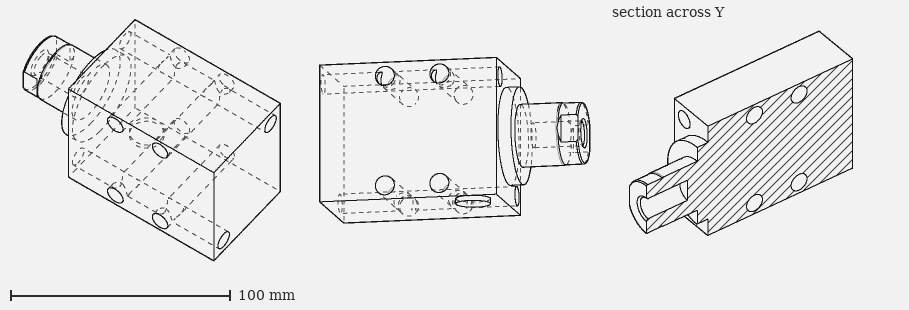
import cadquery as cq

total_length = 117.5
block_start = 35.1
block_length = total_length - block_start
block_width = 50.7
block_height = 63.4

flange_start = 29.0
flange_diameter = 44.6
rod_diameter = 28.7
shoulder_start = 9.0
shoulder_end = 9.8
tip_diameter = 28.2
tip_face_diameter = 27.5
tip_bevel_length = 0.8

flat_spacing = 25.3
flat_length = 7.8

bore_diameter = 11.4
bore_mouth_diameter = 13.4
bore_depth = 23.5

hole_diameter = 8.8
cross_hole_start = 61.7
cross_hole_pitch_x = 25.4
cross_hole_pitch_z = 50.7
long_hole_inset = 7.5

pad_diameter = 15.9
pad_height = 2.3
pad_x = 47.7


def make_rod():
    """Revolve the rod, its stepped tip and the flange around the X axis."""
    return (
        cq.Workplane("XY")
        .moveTo(0, 0)
        .lineTo(0, tip_face_diameter / 2)
        .lineTo(tip_bevel_length, tip_diameter / 2)
        .lineTo(shoulder_start, tip_diameter / 2)
        .lineTo(shoulder_end, rod_diameter / 2)
        .lineTo(flange_start, rod_diameter / 2)
        .lineTo(flange_start, flange_diameter / 2)
        .lineTo(block_start, flange_diameter / 2)
        .lineTo(block_start, 0)
        .close()
        .revolve(360, (0, 0, 0), (1, 0, 0))
    )


def make_flat_cutter(side):
    """Wrench flat on one side (+1 or -1 in Y), running out at 45 degrees."""
    flat_y = flat_spacing / 2
    run_out = rod_diameter - flat_y
    return (
        cq.Workplane("XY")
        .moveTo(0, side * flat_y)
        .lineTo(flat_length, side * flat_y)
        .lineTo(flat_length + run_out, side * rod_diameter)
        .lineTo(0, side * rod_diameter)
        .close()
        .extrude(rod_diameter / 2, both=True)
    )


def make_bore():
    """Blind bore in the rod tip with a 45 degree countersink."""
    countersink_depth = (bore_mouth_diameter - bore_diameter) / 2
    return (
        cq.Workplane("XY")
        .lineTo(0, bore_mouth_diameter / 2)
        .lineTo(countersink_depth, bore_diameter / 2)
        .lineTo(bore_depth, bore_diameter / 2)
        .lineTo(bore_depth, 0)
        .close()
        .revolve(360, (0, 0, 0), (1, 0, 0))
    )


def make_cross_holes():
    """Four holes through the block along Y."""
    x_positions = (cross_hole_start, cross_hole_start + cross_hole_pitch_x)
    z_positions = (-cross_hole_pitch_z / 2, cross_hole_pitch_z / 2)
    return (
        cq.Workplane("XZ")
        .pushPoints([(x, z) for x in x_positions for z in z_positions])
        .circle(hole_diameter / 2)
        .extrude(block_width, both=True)
    )


def make_long_holes():
    """Two diagonally opposite holes through the block along X."""
    hole_y = block_width / 2 - long_hole_inset
    hole_z = block_height / 2 - long_hole_inset
    return (
        cq.Workplane("YZ")
        .pushPoints([(hole_y, hole_z), (-hole_y, -hole_z)])
        .circle(hole_diameter / 2)
        .extrude(total_length)
    )


block = cq.Workplane("XY").box(block_length, block_width, block_height)
block = block.translate((block_start + block_length / 2, 0, 0))

pad_y = (block_width - pad_diameter) / 2
pad = (
    cq.Workplane("XY", origin=(pad_x, pad_y, -block_height / 2))
    .circle(pad_diameter / 2)
    .extrude(-pad_height)
)

rod = make_rod().cut(make_bore())
for side in (1, -1):
    rod = rod.cut(make_flat_cutter(side))

block = block.cut(make_cross_holes()).cut(make_long_holes())

result = block.union(pad).union(rod)